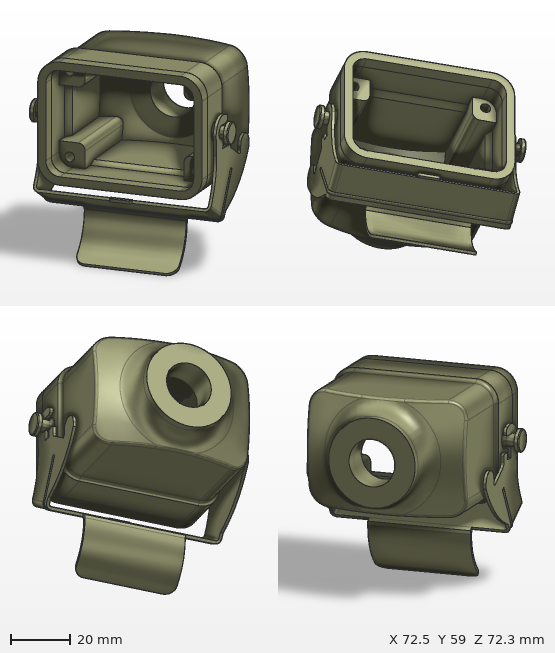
import cadquery as cq
import math


RIM_WIDTH = 59.9
RIM_HEIGHT = 43.4
RIM_RADIUS = 8.0
RIM_DEPTH = 4.9
WALL = 3.0

STEP_INSET = 1.3
STEP_START = 17.75
STEP_FILLET = 1.6
SELECT_MARGIN = 0.1
STEP_END = STEP_START + STEP_FILLET + SELECT_MARGIN

BODY_WIDTH = RIM_WIDTH - 2 * STEP_INSET
BODY_HEIGHT = RIM_HEIGHT - 2 * STEP_INSET
BODY_RADIUS = RIM_RADIUS - STEP_INSET
END_FILLET = 1.3

OPENING_WIDTH = RIM_WIDTH - 2 * WALL
OPENING_HEIGHT = RIM_HEIGHT - 2 * WALL
OPENING_RADIUS = RIM_RADIUS - WALL
CAVITY_INSET_X = 1.7
CAVITY_INSET_Z = 1.2
CAVITY_WIDTH = OPENING_WIDTH - 2 * CAVITY_INSET_X
CAVITY_HEIGHT = OPENING_HEIGHT - 2 * CAVITY_INSET_Z
CAVITY_RADIUS = OPENING_RADIUS - CAVITY_INSET_Z
TAPER_START = 16.45
TAPER_END = 19.5

TOTAL_DEPTH = 59.0
NECK_RADIUS = 31.25 / 2
NECK_LENGTH = 2.7
FLARE_RADIUS = 7.8
DOME_RADIUS = 66.7
CABLE_HOLE_DIAMETER = 16.5

FLARE_START = TOTAL_DEPTH - NECK_LENGTH
FLARE_CENTRE_RADIUS = NECK_RADIUS + FLARE_RADIUS
DOME_TILT = math.asin(FLARE_CENTRE_RADIUS / (DOME_RADIUS + FLARE_RADIUS))
DOME_CENTRE_Y = FLARE_START - (DOME_RADIUS + FLARE_RADIUS) * math.cos(DOME_TILT)
FLARE_SWEEP = math.pi / 2 - DOME_TILT

INNER_DOME_RADIUS = DOME_RADIUS - WALL
INNER_FLOOR = DOME_CENTRE_Y + math.sqrt(INNER_DOME_RADIUS ** 2 - NECK_RADIUS ** 2)

POST_START = 11.8
POST_INNER_LEFT = 17.5
POST_INNER_RIGHT = 18.55
POST_INNER_Z = 9.85
POST_RADIUS = 2.55
SCREW_X = 23.1
SCREW_Z = 15.15
SCREW_DIAMETER = 3.5
SCREW_DEPTH = 10.9

PIN_Y = 11.5
PIN_END = 36.25
PIN_RADIUS = 4.5 / 2
PIN_HEAD_RADIUS = 8.0 / 2
PIN_HEAD_LENGTH = 1.6
PIN_HEAD_CHAMFER = 0.35
PIN_FOOT_FILLET = 1.15

SHEET = 1.1
LEVER_HALF_WIDTH = 32.4
BEND_RADIUS = 2.2
WEB_TILT = math.radians(30)
WEB_DIRECTION = cq.Vector(0, math.cos(WEB_TILT), -math.sin(WEB_TILT))
WEB_DOWN = cq.Vector(0, -math.sin(WEB_TILT), -math.cos(WEB_TILT))
WEB_FRONT = (1.2, -25.45)
WEB_LENGTH = 13.5

CHANNEL_DEPTH = 43.5
CHANNEL_FRONT = -14.5
CHANNEL_REAR = 36.25

ARM_FRONT_STRAIGHT = 5.1
ARM_REAR_STRAIGHT = 1.6
CATCH_CENTRE = (12.75, -0.3)
CATCH_RADIUS = 6.1
NOTCH_FRONT = (12.75, -6.0)
NOTCH_REAR = (15.7, -6.1)
TOOTH_FRONT = (16.2, -3.3)
TOOTH_REAR = (19.2, -3.3)
TOOTH_FOOT = (19.2, -7.4)
REAR_HOOK_CENTRE = (32.2, -9.8)
REAR_HOOK_RADIUS = 3.7
REAR_HOOK_FRONT = REAR_HOOK_CENTRE[0] - REAR_HOOK_RADIUS
REAR_HOOK_BACK = REAR_HOOK_CENTRE[0] + REAR_HOOK_RADIUS
REAR_HOOK_CORNER = (REAR_HOOK_FRONT, -12.6)
ARM_ROUNDS = [(NOTCH_REAR, 0.4), (TOOTH_REAR, 0.6), (TOOTH_FOOT, 1.8), (REAR_HOOK_CORNER, 0.9)]

BEAD_OFFSET = 11.1
BEAD_RADIUS = 0.9
BEAD_RISE = 0.255
BEAD_HEIGHT = 18.35
TAB_WIDTH = 7.8
TAB_LENGTH = 1.9
TAB_TOP = -24.35
TAB_CORNER = 0.6
HANDLE_WIDTH = 37.1
HANDLE_CENTRE = (-4.9, -33.4)
HANDLE_RADIUS = 19.7
HANDLE_SWEEP = math.radians(61)
HANDLE_CORNER = 4.0
HANDLE_KNEE = (14.7, -32.2)


def rounded_block(width, height, radius, y_start, y_end):
    """Block along Y with rounded long edges."""
    block = cq.Workplane("XZ", origin=(0, y_start, 0)).rect(width, height).extrude(y_start - y_end)
    return block.edges("|Y").fillet(radius)


def rounded_taper(front_size, rear_size, y_start, y_end):
    """Frustum between two rounded rectangles, each given as width, height, corner radius."""
    front = cq.Sketch().rect(*front_size[:2]).vertices().fillet(front_size[2])
    rear = cq.Sketch().rect(*rear_size[:2]).vertices().fillet(rear_size[2])
    plane = cq.Workplane("XZ", origin=(0, y_start, 0))
    return plane.placeSketch(front, rear.moved(cq.Location(cq.Vector(0, 0, y_start - y_end)))).loft()


def dome(radius):
    """Sphere about the dome centre, which rounds the closed end of the hood."""
    return cq.Workplane("XY").sphere(radius).translate((0, DOME_CENTRE_Y, 0))


def flare_point(turn):
    """Radius and depth on the concave flare after turning away from the neck."""
    return (
        FLARE_CENTRE_RADIUS - FLARE_RADIUS * math.cos(turn),
        FLARE_START - FLARE_RADIUS * math.sin(turn),
    )


def make_rim():
    rim = rounded_block(RIM_WIDTH, RIM_HEIGHT, RIM_RADIUS, 0, RIM_DEPTH)
    return rim.cut(rounded_block(OPENING_WIDTH, OPENING_HEIGHT, OPENING_RADIUS, 0, RIM_DEPTH))


def make_neck():
    """Cable neck with the concave flare that runs into the domed end."""
    foot_radius, foot_depth = flare_point(FLARE_SWEEP)
    return (
        cq.Workplane("XY")
        .moveTo(0, STEP_END)
        .lineTo(foot_radius, STEP_END)
        .lineTo(foot_radius, foot_depth)
        .threePointArc(flare_point(FLARE_SWEEP / 2), (NECK_RADIUS, FLARE_START))
        .lineTo(NECK_RADIUS, TOTAL_DEPTH)
        .lineTo(0, TOTAL_DEPTH)
        .close()
        .revolve(360, (0, 0), (0, 1))
    )


def make_posts():
    """Four screw posts that fill the cavity corners; those at -X are wider."""
    clear_height = 2 * POST_INNER_Z
    depth = TOTAL_DEPTH - POST_START
    side_space = cq.Workplane("XY").box(OPENING_WIDTH, depth, clear_height)
    middle_space = cq.Workplane("XY").box(POST_INNER_LEFT + POST_INNER_RIGHT, depth, OPENING_HEIGHT)
    middle_space = middle_space.translate(((POST_INNER_RIGHT - POST_INNER_LEFT) / 2, 0, 0))
    posts = cq.Workplane("XY").box(OPENING_WIDTH, depth, OPENING_HEIGHT).cut(side_space).cut(middle_space)
    inner_corner = cq.selectors.BoxSelector(
        (-POST_INNER_RIGHT - SELECT_MARGIN, -depth, -POST_INNER_Z - SELECT_MARGIN),
        (POST_INNER_RIGHT + SELECT_MARGIN, depth, POST_INNER_Z + SELECT_MARGIN),
    )
    posts = posts.edges("|Y").edges(inner_corner).fillet(POST_RADIUS)
    return posts.translate((0, POST_START + depth / 2, 0))


def make_cavity():
    front = rounded_block(OPENING_WIDTH, OPENING_HEIGHT, OPENING_RADIUS, 0, TAPER_START)
    taper = rounded_taper(
        (OPENING_WIDTH, OPENING_HEIGHT, OPENING_RADIUS),
        (CAVITY_WIDTH, CAVITY_HEIGHT, CAVITY_RADIUS),
        TAPER_START,
        TAPER_END,
    )
    rear = rounded_block(CAVITY_WIDTH, CAVITY_HEIGHT, CAVITY_RADIUS, TAPER_END, INNER_FLOOR)
    cavity = front.union(taper).union(rear.intersect(dome(INNER_DOME_RADIUS)))
    return cavity.cut(make_posts())


def make_step():
    """Wide front part of the hood, with a concave fillet down to the rear part."""
    flange_width = BODY_WIDTH + 3 * STEP_FILLET
    flange_height = BODY_HEIGHT + 3 * STEP_FILLET
    flange = rounded_block(flange_width, flange_height, RIM_RADIUS, RIM_DEPTH, STEP_START)
    body = rounded_block(BODY_WIDTH, BODY_HEIGHT, BODY_RADIUS, RIM_DEPTH, STEP_END)
    foot = cq.selectors.BoxSelector(
        (-BODY_WIDTH / 2 - SELECT_MARGIN, STEP_START - SELECT_MARGIN, -BODY_HEIGHT / 2 - SELECT_MARGIN),
        (BODY_WIDTH / 2 + SELECT_MARGIN, STEP_START + SELECT_MARGIN, BODY_HEIGHT / 2 + SELECT_MARGIN),
    )
    step = flange.union(body).edges(foot).fillet(STEP_FILLET)
    return step.intersect(rounded_block(RIM_WIDTH, RIM_HEIGHT, RIM_RADIUS, RIM_DEPTH, STEP_END))


def make_hood():
    rear = rounded_block(BODY_WIDTH, BODY_HEIGHT, BODY_RADIUS, RIM_DEPTH, TOTAL_DEPTH)
    rear = rear.intersect(dome(DOME_RADIUS).union(make_neck()))
    rear = rear.faces(">Z").edges(">Y").fillet(END_FILLET)
    hood = rear.union(make_step()).cut(make_cavity())
    cable_hole = cq.Workplane("XZ").circle(CABLE_HOLE_DIAMETER / 2).extrude(-TOTAL_DEPTH)
    screw_holes = (
        cq.Workplane("XZ", origin=(0, POST_START, 0))
        .rect(2 * SCREW_X, 2 * SCREW_Z, forConstruction=True)
        .vertices()
        .circle(SCREW_DIAMETER / 2)
        .extrude(-SCREW_DEPTH)
    )
    return hood.cut(cable_hole).cut(screw_holes)


def make_pin(side):
    """Headed pin with a flared foot, standing on one side wall (side = -1 or 1)."""
    head_start = PIN_END - PIN_HEAD_LENGTH
    foot_x = RIM_WIDTH / 2
    arc_drop = PIN_FOOT_FILLET * (1 - math.sqrt(0.5))
    pin = (
        cq.Workplane("XY")
        .moveTo(side * foot_x, 0)
        .lineTo(side * foot_x, PIN_RADIUS + PIN_FOOT_FILLET)
        .threePointArc(
            (side * (foot_x + arc_drop), PIN_RADIUS + arc_drop),
            (side * (foot_x + PIN_FOOT_FILLET), PIN_RADIUS),
        )
        .lineTo(side * head_start, PIN_RADIUS)
        .lineTo(side * head_start, PIN_HEAD_RADIUS)
        .lineTo(side * (PIN_END - PIN_HEAD_CHAMFER), PIN_HEAD_RADIUS)
        .lineTo(side * PIN_END, PIN_HEAD_RADIUS - PIN_HEAD_CHAMFER)
        .lineTo(side * PIN_END, 0)
        .close()
    )
    return pin.revolve(360, (0, 0), (1, 0)).translate((0, PIN_Y, 0))


def web_point(along, inward):
    """Point (y, z) at a distance along the web from its front corner and a height above it."""
    return (
        WEB_FRONT[0] + along * math.cos(WEB_TILT) + inward * math.sin(WEB_TILT),
        WEB_FRONT[1] - along * math.sin(WEB_TILT) + inward * math.cos(WEB_TILT),
    )


def web_plane(along):
    """Plane across the web: local x is X, local y points down, away from the hood."""
    return cq.Plane(origin=(0, *web_point(along, 0)), xDir=(1, 0, 0), normal=WEB_DIRECTION)


def web_block(half_width, corner, floor, height):
    """Block along the web with rounded lower edges, between two heights above its underside."""
    block = (
        cq.Workplane(web_plane(CHANNEL_FRONT))
        .center(0, -(floor + height) / 2)
        .rect(2 * half_width, height - floor)
        .extrude(CHANNEL_REAR - CHANNEL_FRONT)
    )
    lower_face = block.faces(cq.selectors.DirectionMinMaxSelector(WEB_DOWN, True))
    return lower_face.edges(cq.selectors.ParallelDirSelector(WEB_DIRECTION)).fillet(corner)


def lever_outline():
    """Side outline of the lever arm, with the catch slot for the pin and the rear hook."""
    outline = (
        cq.Workplane("YZ", origin=(-PIN_END, 0, 0))
        .moveTo(*web_point(0, 0))
        .lineTo(*web_point(0, ARM_FRONT_STRAIGHT))
        .threePointArc((6.5, -13.7), (7.2, -7.25))
        .lineTo(CATCH_CENTRE[0] - CATCH_RADIUS, CATCH_CENTRE[1])
        .threePointArc((CATCH_CENTRE[0], CATCH_CENTRE[1] + CATCH_RADIUS), (15.4, 5.2))
        .threePointArc((16.9, 3.6), (15.45, PIN_RADIUS))
        .lineTo(PIN_Y, PIN_RADIUS)
        .threePointArc((PIN_Y - PIN_RADIUS, 0), (PIN_Y, -PIN_RADIUS))
        .lineTo(NOTCH_FRONT[0], -PIN_RADIUS)
        .lineTo(*NOTCH_FRONT)
        .lineTo(*NOTCH_REAR)
        .lineTo(*TOOTH_FRONT)
        .lineTo(*TOOTH_REAR)
        .lineTo(*TOOTH_FOOT)
        .lineTo(*REAR_HOOK_CORNER)
        .lineTo(REAR_HOOK_FRONT, REAR_HOOK_CENTRE[1])
        .threePointArc(
            (REAR_HOOK_CENTRE[0], REAR_HOOK_CENTRE[1] + REAR_HOOK_RADIUS),
            (REAR_HOOK_BACK, REAR_HOOK_CENTRE[1]),
        )
        .lineTo(REAR_HOOK_BACK, -11.6)
        .threePointArc((27.7, -21.45), (18.1, -27.5))
        .lineTo(15.2, -28.7)
        .lineTo(*web_point(WEB_LENGTH, ARM_REAR_STRAIGHT))
        .lineTo(*web_point(WEB_LENGTH, 0))
        .close()
        .extrude(2 * PIN_END)
    )
    for corner, radius in ARM_ROUNDS:
        outline = outline.edges(cq.selectors.NearestToPointSelector((0, *corner))).fillet(radius)
    return outline


def handle_point(radius, angle):
    return (
        HANDLE_CENTRE[0] + radius * math.cos(angle),
        HANDLE_CENTRE[1] - radius * math.sin(angle),
    )


def make_handle():
    """Curved finger plate hanging from the rear edge of the web."""
    inner_radius = HANDLE_RADIUS - SHEET
    middle = HANDLE_SWEEP / 2
    handle = (
        cq.Workplane("YZ", origin=(-HANDLE_WIDTH / 2, 0, 0))
        .moveTo(*web_point(WEB_LENGTH, 0))
        .lineTo(*handle_point(inner_radius, 0))
        .threePointArc(handle_point(inner_radius, middle), handle_point(inner_radius, HANDLE_SWEEP))
        .lineTo(*handle_point(HANDLE_RADIUS, HANDLE_SWEEP))
        .threePointArc(handle_point(HANDLE_RADIUS, middle), handle_point(HANDLE_RADIUS, 0))
        .lineTo(*HANDLE_KNEE)
        .lineTo(*web_point(WEB_LENGTH, SHEET))
        .close()
        .extrude(HANDLE_WIDTH)
    )
    tip = handle.faces(cq.selectors.DirectionMinMaxSelector(cq.Vector(0, -1, -1), True))
    return tip.edges("not |X").fillet(HANDLE_CORNER)


def make_bead():
    """Stiffening rod that follows the outside of the bent sheet; only its crest stands proud."""
    inset = BEAD_RADIUS - BEAD_RISE
    path_half_width = LEVER_HALF_WIDTH - inset
    path_radius = BEND_RADIUS - inset
    straight = path_half_width - path_radius
    plane = web_plane(BEAD_OFFSET)
    path = (
        cq.Workplane(plane)
        .moveTo(-path_half_width, -BEAD_HEIGHT)
        .lineTo(-path_half_width, -inset - path_radius)
        .tangentArcPoint((-straight, -inset), relative=False)
        .lineTo(straight, -inset)
        .tangentArcPoint((path_half_width, -inset - path_radius), relative=False)
        .lineTo(path_half_width, -BEAD_HEIGHT)
    )
    start = plane.toWorldCoords((-path_half_width, -BEAD_HEIGHT, 0))
    section = cq.Plane(origin=start, xDir=(1, 0, 0), normal=WEB_DOWN)
    return cq.Workplane(section).circle(BEAD_RADIUS).sweep(path)


def make_tab():
    """Small stop tab at the middle of the web's front edge."""
    tab = cq.Workplane("XY").box(TAB_WIDTH, TAB_LENGTH, SHEET, centered=(True, False, False))
    tab = tab.edges("|Z and <Y").fillet(TAB_CORNER)
    return tab.translate((0, 0, TAB_TOP - SHEET))


def make_lever():
    arm_inner = LEVER_HALF_WIDTH - SHEET
    gap = web_block(arm_inner, BEND_RADIUS - SHEET, SHEET, CHANNEL_DEPTH)
    channel = web_block(LEVER_HALF_WIDTH, BEND_RADIUS, 0, CHANNEL_DEPTH)
    lever = channel.intersect(lever_outline())
    lever = lever.union(make_bead()).cut(gap)
    return lever.union(make_tab()).union(make_handle())


rim = make_rim()
hood = make_hood()
lever = make_lever()
pins = [make_pin(side) for side in (-1, 1)]

result = cq.Compound.makeCompound([hood.val(), rim.val(), lever.val(), *[pin.val() for pin in pins]])